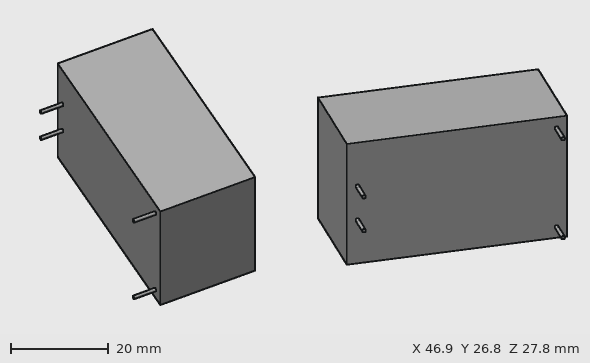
import cadquery as cq

body_length = 46.9
body_height = 27.8
overall_depth = 26.8
pin_length = 5.0
body_depth = overall_depth - pin_length

pin_diameter = 0.8
pin_offset_x = 21.2
close_pair_spacing = 7.8
wide_pair_spacing = 22.75


def make_body():
    return cq.Workplane("XY").box(body_length, body_depth, body_height)


def make_pin_pair(x, spacing):
    """Two pins standing out of the -Y face, evenly placed above and below centre."""
    return (
        cq.Workplane("XZ", origin=(0, -body_depth / 2, 0))
        .pushPoints([(x, -spacing / 2), (x, spacing / 2)])
        .circle(pin_diameter / 2)
        .extrude(pin_length)
    )


result = (
    make_body()
    .union(make_pin_pair(-pin_offset_x, close_pair_spacing))
    .union(make_pin_pair(pin_offset_x, wide_pair_spacing))
)